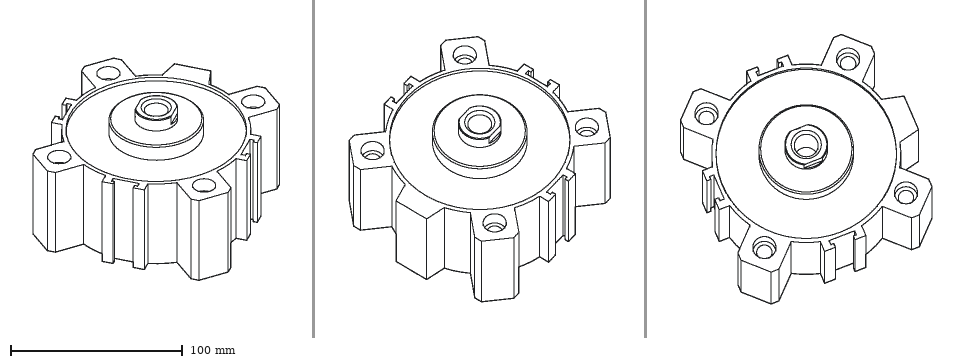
import cadquery as cq

BODY_HEIGHT = 56.8
TOTAL_HEIGHT = 72.5
HALF_WIDTH = 60.0
BACK_REACH = 66.0

BARREL_DIAMETER = 110.0
RECESS_DIAMETER = 105.0
RECESS_DEPTH = 2.5

BOSS_DIAMETER = 55.0
BOSS_TOP = 64.5
BOSS_CHAMFER = 1.0

LUG_WIDTH = 26.0
LUG_REACH = 75.3
BOLT_OFFSET = 44.5
BOLT_HOLE_DIAMETER = 9.0
COUNTERBORE_DIAMETER = 13.5
COUNTERBORE_DEPTH = 8.6

RAIL_WIDTH = 26.0
SLOT_OPENING = 12.2
SLOT_WIDTH = 16.0
SLOT_DEPTH = 5.2
LIP_THICKNESS = 2.5
RAIL_ANGLES = (0, 180, 270)

PORT_TOP_WIDTH = 22.3
PORT_BASE_WIDTH = 28.6
PORT_BASE_Y = 52.9

ROD_DIAMETER = 25.0
ROD_BOTTOM = 12.6
ROD_CHAMFER = 0.5
FLAT_WIDTH = 22.0
FLAT_BOTTOM = 66.8
THREAD_DIAMETER = 13.9
THREAD_MOUTH_DIAMETER = 17.5
THREAD_DEPTH = 25.2


def cylinder(diameter, bottom, top):
    return cq.Workplane("XY").workplane(offset=bottom).circle(diameter / 2).extrude(top - bottom)


def make_lugs():
    """Two crossed diagonal bars, trimmed square where they pass the outer flats."""
    bar = cq.Workplane("XY").rect(2 * LUG_REACH, LUG_WIDTH).extrude(BODY_HEIGHT)
    crossed = bar.rotate((0, 0, 0), (0, 0, 1), 45).union(bar.rotate((0, 0, 0), (0, 0, 1), -45))
    square = cq.Workplane("XY").rect(2 * HALF_WIDTH, 2 * HALF_WIDTH).extrude(BODY_HEIGHT)
    return crossed.intersect(square)


def make_rail(angle):
    """A straight rail running from the axis to the outer flat at the given angle."""
    rail = cq.Workplane("XY").center(HALF_WIDTH / 2, 0).rect(HALF_WIDTH, RAIL_WIDTH).extrude(BODY_HEIGHT)
    return rail.rotate((0, 0, 0), (0, 0, 1), angle)


def make_slot(angle):
    """T-shaped slot: a narrow opening between the lips and a wider channel behind them."""
    floor = HALF_WIDTH - SLOT_DEPTH
    lip_back = HALF_WIDTH - LIP_THICKNESS
    slot = (
        cq.Workplane("XY")
        .moveTo(floor, -SLOT_WIDTH / 2)
        .lineTo(lip_back, -SLOT_WIDTH / 2)
        .lineTo(lip_back, -SLOT_OPENING / 2)
        .lineTo(HALF_WIDTH, -SLOT_OPENING / 2)
        .lineTo(HALF_WIDTH, SLOT_OPENING / 2)
        .lineTo(lip_back, SLOT_OPENING / 2)
        .lineTo(lip_back, SLOT_WIDTH / 2)
        .lineTo(floor, SLOT_WIDTH / 2)
        .close()
        .extrude(BODY_HEIGHT)
    )
    return slot.rotate((0, 0, 0), (0, 0, 1), angle)


def make_port_block():
    return (
        cq.Workplane("XY")
        .polyline([
            (-PORT_BASE_WIDTH / 2, 0),
            (PORT_BASE_WIDTH / 2, 0),
            (PORT_BASE_WIDTH / 2, PORT_BASE_Y),
            (PORT_TOP_WIDTH / 2, BACK_REACH),
            (-PORT_TOP_WIDTH / 2, BACK_REACH),
            (-PORT_BASE_WIDTH / 2, PORT_BASE_Y),
        ])
        .close()
        .extrude(BODY_HEIGHT)
    )


def make_housing():
    housing = cylinder(BARREL_DIAMETER, 0, BODY_HEIGHT).union(make_lugs()).union(make_port_block())
    for angle in RAIL_ANGLES:
        housing = housing.union(make_rail(angle))
    for angle in RAIL_ANGLES:
        housing = housing.cut(make_slot(angle))

    housing = (
        housing.faces(">Z").workplane(origin=(0, 0, BODY_HEIGHT))
        .rect(2 * BOLT_OFFSET, 2 * BOLT_OFFSET, forConstruction=True).vertices()
        .cboreHole(BOLT_HOLE_DIAMETER, COUNTERBORE_DIAMETER, COUNTERBORE_DEPTH)
    )

    recess_floor = BODY_HEIGHT - RECESS_DEPTH
    housing = housing.cut(cylinder(RECESS_DIAMETER, recess_floor, BODY_HEIGHT))
    boss = cylinder(BOSS_DIAMETER, recess_floor, BOSS_TOP).faces(">Z").chamfer(BOSS_CHAMFER)
    housing = housing.union(boss)

    return housing.cut(cylinder(ROD_DIAMETER, ROD_BOTTOM, BOSS_TOP))


def make_rod():
    rod = cylinder(ROD_DIAMETER, ROD_BOTTOM, TOTAL_HEIGHT).faces(">Z").chamfer(ROD_CHAMFER)

    flat_zone = cylinder(2 * ROD_DIAMETER, FLAT_BOTTOM, TOTAL_HEIGHT)
    between_flats = (
        cq.Workplane("XY").workplane(offset=FLAT_BOTTOM)
        .rect(FLAT_WIDTH, 2 * ROD_DIAMETER).extrude(TOTAL_HEIGHT - FLAT_BOTTOM)
    )
    rod = rod.cut(flat_zone.cut(between_flats))

    thread_radius = THREAD_DIAMETER / 2
    mouth_radius = THREAD_MOUTH_DIAMETER / 2
    hole = (
        cq.Workplane("XZ")
        .polyline([
            (0, TOTAL_HEIGHT - THREAD_DEPTH),
            (thread_radius, TOTAL_HEIGHT - THREAD_DEPTH),
            (thread_radius, TOTAL_HEIGHT - (mouth_radius - thread_radius)),
            (mouth_radius, TOTAL_HEIGHT),
            (0, TOTAL_HEIGHT),
        ])
        .close()
        .revolve(360, (0, 0, 0), (0, 1, 0))
    )
    return rod.cut(hole)


housing = make_housing()
rod = make_rod()
result = cq.Compound.makeCompound([housing.val(), rod.val()])